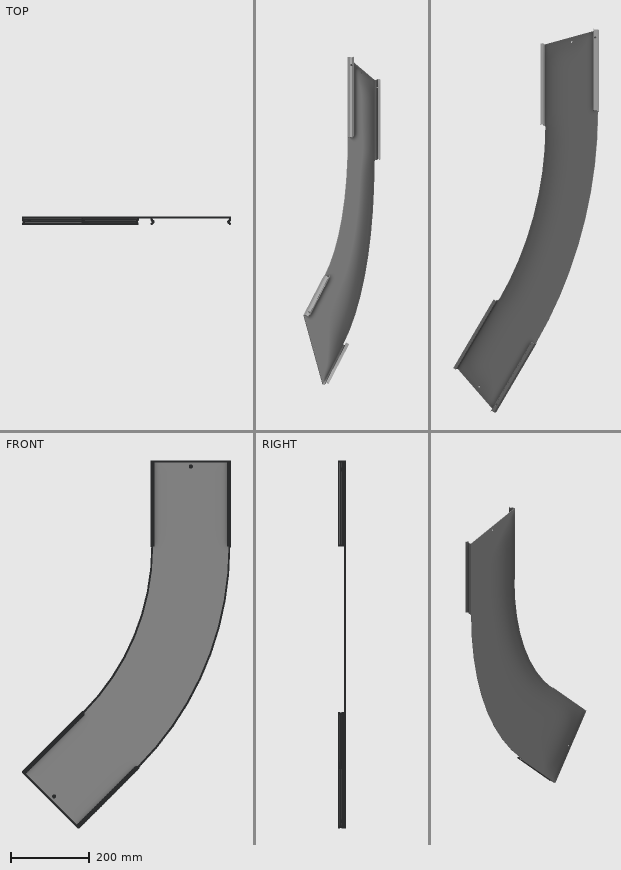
import cadquery as cq
import math

bend_angle = 45.0
bend_inner_radius = 601.0
bend_outer_radius = 799.0
side_overhang = 2.2
arm_length = 217.0
depth = 17.4
plate_thickness = 1.2

lip_thickness = 1.2
lip_length = 215.0
lip_wall_depth = 6.6
lip_tip_inset = 0.5

plate_hole_diameter = 5.0
plate_hole_inset = 13.0
lip_hole_diameter = 5.5
lip_hole_inset = 21.0

arm_inner_x = bend_inner_radius - side_overhang
arm_outer_x = bend_outer_radius + side_overhang
arm_middle_x = (arm_inner_x + arm_outer_x) / 2

fold_skin = lip_thickness * math.sqrt(2)
tip_step = lip_thickness / math.sqrt(2)
fold_rise = (depth - tip_step + lip_tip_inset - lip_wall_depth) / 2
fold_depth = lip_wall_depth + fold_rise


def polar(radius, degrees):
    """Point at a radius and angle about the bend centre."""
    angle = math.radians(degrees)
    return (radius * math.cos(angle), radius * math.sin(angle))


def make_bend():
    """Curved plate sweeping downward from the upper arm; local Y is world Z."""
    half = -bend_angle / 2
    return (
        cq.Workplane("XZ")
        .moveTo(bend_inner_radius, 0)
        .lineTo(bend_outer_radius, 0)
        .threePointArc(polar(bend_outer_radius, half), polar(bend_outer_radius, -bend_angle))
        .lineTo(*polar(bend_inner_radius, -bend_angle))
        .threePointArc(polar(bend_inner_radius, half), (bend_inner_radius, 0))
        .close()
        .extrude(plate_thickness)
    )


def make_lip():
    """Clip lip along the inner side of an arm, with its latch hole."""
    overlap_depth = plate_thickness / 2
    wall_back = arm_inner_x + lip_thickness
    tip_x = arm_inner_x + lip_tip_inset
    lip_start = arm_length - lip_length
    profile = [
        (arm_inner_x, -overlap_depth),
        (arm_inner_x, -lip_wall_depth),
        (arm_inner_x + fold_rise, -fold_depth),
        (tip_x, -depth + tip_step),
        (tip_x + tip_step, -depth),
        (arm_inner_x + fold_rise + fold_skin, -fold_depth),
        (wall_back, -lip_wall_depth + fold_skin - lip_thickness),
        (wall_back, -overlap_depth),
    ]
    lip = cq.Workplane("XY", origin=(0, 0, lip_start)).polyline(profile).close().extrude(lip_length)

    flank_middle = cq.Vector(
        arm_inner_x + (fold_rise + fold_skin) / 2,
        -lip_wall_depth - fold_rise / 2,
        arm_length - lip_hole_inset,
    )
    flank_normal = cq.Vector(1, 1, 0).normalized()
    drill_reach = 2 * lip_thickness
    drill_start = flank_middle - flank_normal * drill_reach
    drill = cq.Solid.makeCylinder(lip_hole_diameter / 2, 2 * drill_reach, drill_start, flank_normal)
    return lip.cut(cq.Workplane(drill))


def make_arm():
    """Straight arm rising from the bend, with a lip on each side."""
    plate = cq.Workplane("XY").box(
        arm_outer_x - arm_inner_x, plate_thickness, arm_length, centered=False
    ).translate((arm_inner_x, -plate_thickness, 0))
    hole = (
        cq.Workplane("XZ")
        .center(arm_middle_x, arm_length - plate_hole_inset)
        .circle(plate_hole_diameter / 2)
        .extrude(plate_thickness)
    )
    inner_lip = make_lip()
    outer_lip = inner_lip.mirror("YZ", (arm_middle_x, 0, 0))
    return plate.cut(hole).union(inner_lip).union(outer_lip)


upper_arm = make_arm()
lower_arm = upper_arm.mirror("XY").rotate((0, 0, 0), (0, 1, 0), bend_angle)

result = make_bend().union(upper_arm).union(lower_arm)